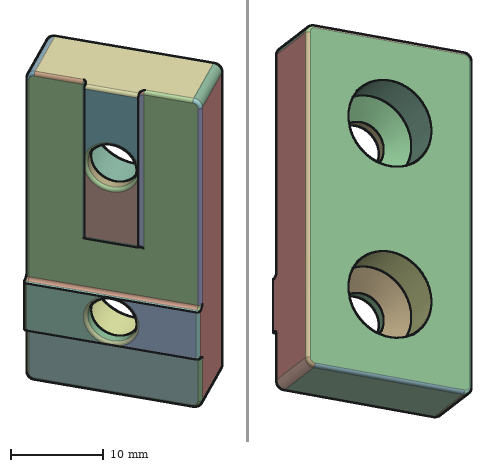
import cadquery as cq
width = 20.0
height = 40.0
block_thickness = 8.0
rail_height = 0.8
corner_radius = 1.0
edge_radius = 0.4

rail_width = 6.1
foot_radius = 0.4
upright_length = height / 2

hole_diameter = 5.5
mouth_rounding = 0.4
counterbore_diameter = 10.0
counterbore_depth = 5.0
hole_offset = height / 4

overall_thickness = block_thickness + rail_height
rail_face = -overall_thickness / 2
block_front = rail_face + rail_height
block_back = overall_thickness / 2

rim_center = block_front + edge_radius


def rounded_block():
    """Block with rounded corners and rounded front and back rims."""
    return (
        cq.Workplane("XZ", origin=(0, block_back, 0))
        .rect(width, height)
        .extrude(block_thickness)
        .edges("|Y")
        .fillet(corner_radius)
        .faces("<Y or >Y")
        .edges()
        .fillet(edge_radius)
    )


def rail(size_x, size_z, center_z, rounded_edges):
    """Straight-walled rail whose front edges along one direction are rounded."""
    return (
        cq.Workplane("XZ", origin=(0, rim_center, center_z))
        .rect(size_x, size_z)
        .extrude(rim_center - rail_face)
        .faces("<Y")
        .edges(rounded_edges)
        .fillet(edge_radius)
    )


def foot_section(plane):
    """Band under a rail with a cove on each side; its second axis points out of the front."""
    half = rail_width / 2
    rim_top = edge_radius
    foot_top = rim_top + foot_radius
    return (
        cq.Workplane(plane)
        .moveTo(-half - foot_radius, 0)
        .lineTo(-half - foot_radius, rim_top)
        .radiusArc((-half, foot_top), -foot_radius)
        .lineTo(half, foot_top)
        .radiusArc((half + foot_radius, rim_top), -foot_radius)
        .lineTo(half + foot_radius, 0)
        .close()
    )


def foot(start, end, across, along):
    """Coved band from start to end that also rolls over the rounded rim at the end."""
    straight = foot_section(cq.Plane(start, across, along)).extrude((end - start).Length)
    rolled = foot_section(cq.Plane(end, across, along)).revolve(360, (0, 0, 0), (1, 0, 0))
    return straight.union(rolled).intersect(cq.Workplane().box(width, overall_thickness, height))


def cross_foot():
    """Coves above and below the cross rail, made as two mirrored halves."""
    start = cq.Vector(0, rim_center, -hole_offset)
    end = start + cq.Vector(width / 2 - edge_radius, 0, 0)
    half = foot(start, end, (0, 0, 1), (1, 0, 0))
    return half.union(half.mirror("YZ"))


def upright_foot():
    """Coves beside the upright rail, with one more across its lower end."""
    start = cq.Vector(0, rim_center, -foot_radius)
    end = cq.Vector(0, rim_center, upright_length - edge_radius)
    band = foot(start, end, (-1, 0, 0), (0, 0, 1))
    end_cove = (
        cq.Workplane("YZ")
        .moveTo(block_front, -foot_radius)
        .radiusArc((block_front - foot_radius, 0), -foot_radius)
        .lineTo(block_front - foot_radius, -foot_radius)
        .close()
        .extrude(width / 2, both=True)
    )
    return band.cut(end_cove)


def bolt_hole(z):
    """Cutter for a through hole with a rounded mouth, a conical seat and a back counterbore."""
    bore_radius = hole_diameter / 2
    mouth_radius = bore_radius + mouth_rounding
    counterbore_radius = counterbore_diameter / 2
    cone_end = block_back - counterbore_depth
    cone_start = cone_end - (counterbore_radius - bore_radius)
    return (
        cq.Workplane("XY", origin=(0, 0, z))
        .moveTo(0, rail_face)
        .lineTo(mouth_radius, rail_face)
        .radiusArc((bore_radius, rail_face + mouth_rounding), mouth_rounding)
        .lineTo(bore_radius, cone_start)
        .lineTo(counterbore_radius, cone_end)
        .lineTo(counterbore_radius, block_back)
        .lineTo(0, block_back)
        .close()
        .revolve(360, (0, 0, 0), (0, 1, 0))
    )


cross_rail = rail(width, rail_width, -hole_offset, "|Z")
upright_rail = rail(rail_width, upright_length, upright_length / 2, "|X")
body = rounded_block().union(cross_rail).union(upright_rail)
body = body.union(cross_foot()).union(upright_foot())
for z in (-hole_offset, hole_offset):
    body = body.cut(bolt_hole(z))

result = body